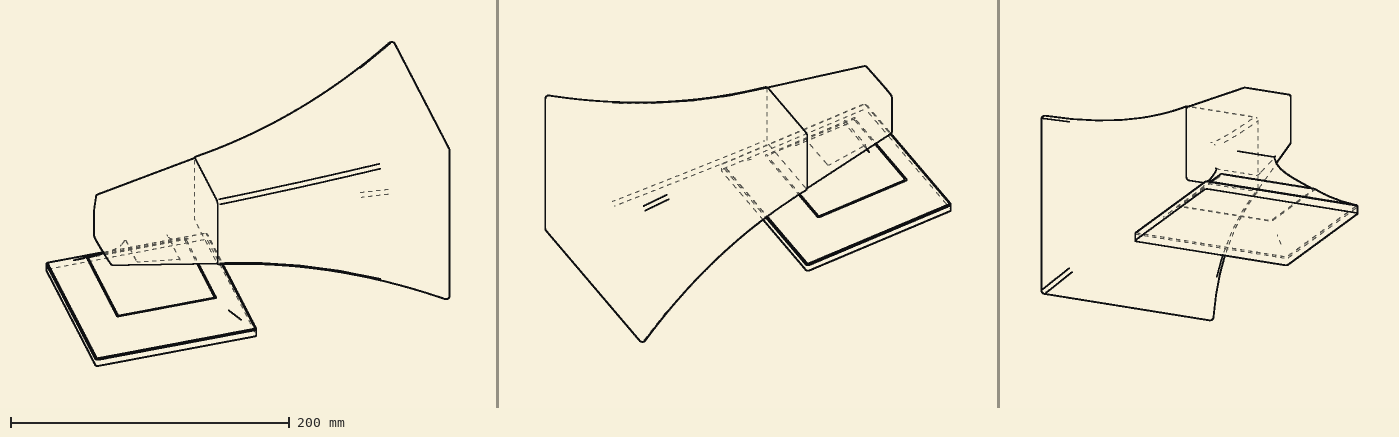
import cadquery as cq
import math

PLATE_SIDE = 121.0
PLATE_HEIGHT = 6.3
PLATE_CORNER_RADIUS = 1.8
PLATE_EDGE_CHAMFER = 0.8
SKIRT_FOOT_HALF = PLATE_SIDE / 2 - 1.0
SKIRT_TOP_HALF = 38.5
SKIRT_TOP_Z = 21.5
SKIRT_SAG = 1.0
LEDGE_CHAMFER = 1.3
LEDGE_Z = SKIRT_TOP_Z + LEDGE_CHAMFER
NECK_FOOT_HALF = 36.2
NECK_BEND_HALF = 22.7
NECK_TOP_HALF = 15.3
NECK_TOP_Z = 54.2
PEDESTAL_CORNER_RADIUS = 1.3
NECK_JOINT_RADIUS = 1.3
NECK_JOINT_BAND = 8.0

AXIS_Z = 73.5

HORN_LENGTH_BEHIND_PLATE = 143.2
BACK_Y = PLATE_SIDE / 2 + HORN_LENGTH_BEHIND_PLATE
BACK_HALF = 69.2
JOINT_Y = 40.5
JOINT_HALF = 28.8
FLARE_SAG = 6.0
FLARE_EDGE_RADIUS = 2.6

HANDLE_FRONT_Y = -35.5
HANDLE_FRONT_HALF = 19.0
HANDLE_SLOPE = 0.12
HANDLE_OVERLAP = 8.0
HANDLE_BACK_Y = JOINT_Y + HANDLE_OVERLAP
HANDLE_BACK_HALF = HANDLE_FRONT_HALF + HANDLE_SLOPE * (HANDLE_BACK_Y - HANDLE_FRONT_Y)
HANDLE_EDGE_RADIUS = 2.0

NOSE_BEVEL_ANGLE = math.radians(29)
NOSE_CROWN_HALF = 13.7
NOSE_CROWN_RADIUS = NOSE_CROWN_HALF / math.sin(NOSE_BEVEL_ANGLE)
NOSE_CROWN_Y = HANDLE_FRONT_Y - (HANDLE_FRONT_HALF - NOSE_CROWN_HALF) * math.tan(NOSE_BEVEL_ANGLE)
NOSE_TIP_Y = NOSE_CROWN_Y - NOSE_CROWN_RADIUS * (1 - math.cos(NOSE_BEVEL_ANGLE))
NOSE_FLAT_HALF = HANDLE_FRONT_HALF - (HANDLE_FRONT_Y - NOSE_TIP_Y) / math.tan(NOSE_BEVEL_ANGLE)

TOLERANCE = 0.03


def arc_middle(start, end, sag):
    """Middle of an arc that bows by the sag to the left of the way from start to end."""
    run, rise = end[0] - start[0], end[1] - start[1]
    chord = math.hypot(run, rise)
    return (
        (start[0] + end[0]) / 2 - sag * rise / chord,
        (start[1] + end[1]) / 2 + sag * run / chord,
    )


def both_sides(half_outline, depth):
    """Symmetric prism from a half outline that starts and ends on the local vertical axis."""
    normal = half_outline.plane.zDir
    return half_outline.mirrorY().extrude(depth).clean().translate(normal * (-depth / 2))


def turned(prism, axis):
    """The prism given a quarter turn about the axis direction."""
    return prism.rotate((0, 0, 0), axis, 90)


def round_corners(tier):
    """Round the four mitred corners that run up a square tier of the pedestal."""
    def on_mitre(edge):
        ends = (edge.startPoint(), edge.endPoint())
        return all(abs(abs(end.x) - abs(end.y)) < TOLERANCE for end in ends)

    def climbs(edge):
        return edge.BoundingBox().zlen > TOLERANCE

    return tier.edges().filter(on_mitre).filter(climbs).fillet(PEDESTAL_CORNER_RADIUS)


def make_plate():
    """Square foot plate of the pedestal."""
    plate = cq.Workplane("XY").rect(PLATE_SIDE, PLATE_SIDE).extrude(PLATE_HEIGHT)
    plate = plate.edges("|Z").fillet(PLATE_CORNER_RADIUS)
    return plate.faces(">Z").edges().chamfer(PLATE_EDGE_CHAMFER)


def make_skirt():
    """Concave lower tier that ends in a small ledge."""
    foot = (SKIRT_FOOT_HALF, PLATE_HEIGHT)
    top = (SKIRT_TOP_HALF, SKIRT_TOP_Z)
    outline = (
        cq.Workplane("XZ")
        .moveTo(0, PLATE_HEIGHT)
        .lineTo(*foot)
        .threePointArc(arc_middle(foot, top, SKIRT_SAG), top)
        .lineTo(SKIRT_TOP_HALF - LEDGE_CHAMFER, LEDGE_Z)
        .lineTo(0, LEDGE_Z)
    )
    prism = both_sides(outline, PLATE_SIDE)
    skirt = prism.intersect(turned(prism, (0, 0, 1)))
    return round_corners(skirt)


def make_neck():
    """Upper tier, sloping at 45 degrees from the ledge and bending upright into the handle."""
    bend = (NECK_BEND_HALF, LEDGE_Z + NECK_FOOT_HALF - NECK_BEND_HALF)
    top = (NECK_TOP_HALF, NECK_TOP_Z)
    outline = (
        cq.Workplane("XZ")
        .moveTo(0, LEDGE_Z)
        .lineTo(NECK_FOOT_HALF, LEDGE_Z)
        .spline([bend, top], tangents=[(-1, 1), (0, 1)], includeCurrent=True)
        .lineTo(0, NECK_TOP_Z)
    )
    prism = both_sides(outline, PLATE_SIDE)
    neck = prism.intersect(turned(prism, (0, 0, 1)))
    return round_corners(neck)


def make_flare():
    """Solid square flare with concave sides, built with the horn axis on the Y axis."""
    front = (JOINT_HALF, JOINT_Y)
    back = (BACK_HALF, BACK_Y)
    outline = (
        cq.Workplane("XY")
        .moveTo(0, JOINT_Y)
        .lineTo(*front)
        .threePointArc(arc_middle(front, back, FLARE_SAG), back)
        .lineTo(0, BACK_Y)
    )
    prism = both_sides(outline, BACK_HALF * 2)
    flare = prism.intersect(turned(prism, (0, 1, 0)))
    return flare.edges().fillet(FLARE_EDGE_RADIUS)


def handle_taper():
    """Open half outline of the handle, from its back end to the start of the nose."""
    return (
        cq.Workplane("XY")
        .moveTo(0, HANDLE_BACK_Y)
        .lineTo(HANDLE_BACK_HALF, HANDLE_BACK_Y)
        .lineTo(HANDLE_FRONT_HALF, HANDLE_FRONT_Y)
    )


def make_handle():
    """Tapered handle and nose, built with the horn axis on the Y axis."""
    crowned = (
        handle_taper()
        .lineTo(NOSE_CROWN_HALF, NOSE_CROWN_Y)
        .tangentArcPoint((0, NOSE_TIP_Y), relative=False)
    )
    flat = handle_taper().lineTo(NOSE_FLAT_HALF, NOSE_TIP_Y).lineTo(0, NOSE_TIP_Y)
    side = turned(both_sides(flat, BACK_HALF * 2), (0, 1, 0))
    handle = both_sides(crowned, BACK_HALF * 2).intersect(side)
    creases = handle.edges().filter(lambda edge: abs(edge.Center().y - NOSE_CROWN_Y) > TOLERANCE)
    return creases.fillet(HANDLE_EDGE_RADIUS)


def round_neck_joint(body):
    """Blend the neck into the underside of the handle all the way round."""
    around_joint = cq.selectors.BoxSelector(
        (-NECK_BEND_HALF, -NECK_BEND_HALF, NECK_TOP_Z - NECK_JOINT_BAND),
        (NECK_BEND_HALF, NECK_BEND_HALF, NECK_TOP_Z),
        boundingbox=True,
    )
    return body.edges(around_joint).fillet(NECK_JOINT_RADIUS)


horn = make_flare().union(make_handle()).translate((0, 0, AXIS_Z))
pedestal = make_plate().union(make_skirt()).union(make_neck())
result = round_neck_joint(pedestal.union(horn))